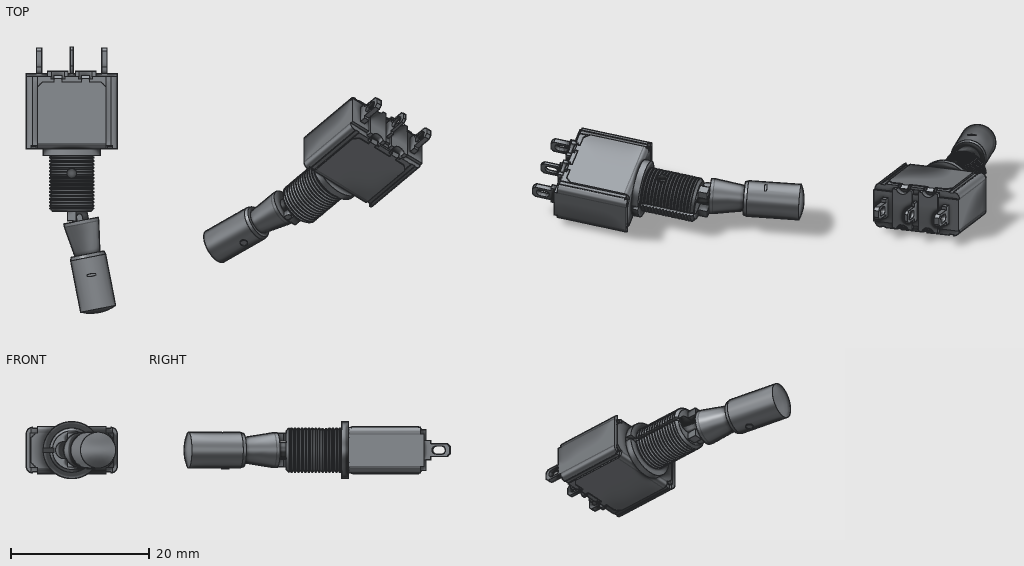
import cadquery as cq
import math


HOUSING_WIDTH = 13.2
SIDE_TOP = 3.32
SIDE_FILLET = 0.95
SIDE_BACK = 10.45
REAR_BACK = 10.9
REAR_HALF_HEIGHT = SIDE_TOP - SIDE_FILLET

COVER_TOP = 3.44
COVER_HALF_WIDTH = 4.97
COVER_BACK = 9.7
COVER_CORNER = 0.75
COVER_BEND = 0.78
FACE_HALF_WIDTH = 5.87
FACE_HALF_HEIGHT = 2.5
FACE_CORNER = 0.68
FACE_GAP = 0.17
FACE_GAP_DEPTH = 0.3

GROOVE_OUTER = 5.65
GROOVE_DEPTH = 0.15
CORNER_NOTCH_DEPTH = 0.45

BASE_BACK = 11.25
BASE_TOP = 2.97
BASE_HALF_WIDTH = 3.52
BASE_GAP = 1.03
BASE_GAP_FRONT = 10.5
LATCH_X = 2.0
LATCH_RADIUS = 1.0
LATCH_FRONT = 10.1
LATCH_TAB_WIDTH = 1.14
LATCH_TAB_BACK = 10.6
LATCH_TAB_THICKNESS = 0.55
LATCH_TAB_SLOPE = 0.45

TERMINAL_PITCH = 4.72
TERMINAL_OUTER_THICKNESS = 0.78
TERMINAL_CENTRE_THICKNESS = 0.46
TERMINAL_OUTER_TIP = 14.64
TERMINAL_CENTRE_TIP = 14.78
TERMINAL_LENGTH = 2.8
TERMINAL_WIDTH = 1.9
SHOULDER_WIDTH = 2.85
TERMINAL_CHAMFER = 0.45
TERMINAL_HOLE_LENGTH = 1.95
TERMINAL_HOLE_WIDTH = 1.15
TERMINAL_HOLE_FROM_TIP = 1.6

FLANGE_RADIUS = 4.145
FLANGE_FRONT = -1.0
BUSHING_FRONT = -9.05
THREAD_RADIUS = 3.22
THREAD_ROOT_RADIUS = 2.95
THREAD_PITCH = 0.5
THREAD_CREST = 0.12
THREAD_RUNOUT = 0.5
BUSHING_CHAMFER = 0.42

KEYWAY_WIDTH = 0.62
KEYWAY_FLOOR = 2.55
KEYWAY_CUTTER_RADIUS = 2.05
KEYWAY_FLOOR_BACK = -2.1

SOCKET_RADIUS = 1.25

PIVOT_Y = -3.55
LEVER_TILT = 11.0
PIVOT_HOLE_RADIUS = 0.72
PIVOT_HOLE_FLOOR = 2.0

POST_WIDTH = 1.3
POST_INNER = 1.3
POST_OUTER = 2.47
POST_FRONT = -10.45

BALL_RADIUS = SOCKET_RADIUS
SHAFT_RADIUS = 1.12
CONE_START = 6.97
CONE_RADIUS = 2.55
CONE_RIM = 0.5
CONE_NECK_RADIUS = 1.85
GRIP_START = 11.92
GRIP_RADIUS = 2.6
GRIP_CHAMFER_LENGTH = 0.5
GRIP_CHAMFER_WIDTH = 0.17
GRIP_END = 20.0
DOME_HEIGHT = 0.57

LUG_WIDTH = 0.85
LUG_LENGTH = 1.0
LUG_OFFSET = -0.12
LUG_OUTER = 2.4

GRIP_PAD_FROM_PIVOT = 14.6
GRIP_PAD_RADIUS = 0.55
GRIP_PAD_HEIGHT = 0.12
GRIP_MARK_FROM_PIVOT = 15.0
GRIP_MARK_LENGTH = 1.5
GRIP_MARK_WIDTH = 0.4
GRIP_MARK_DEPTH = 0.08


def block(x0, x1, y0, y1, z0, z1):
    """Box between two opposite corners."""
    return cq.Workplane("XY").box(x1 - x0, y1 - y0, z1 - z0, centered=False).translate((x0, y0, z0))


def mid_block(half_width, y0, y1, half_height):
    """Box centred on the X and Z axes."""
    return block(-half_width, half_width, y0, y1, -half_height, half_height)


def cover():
    """Sheet cover with bent front edges and a tab in each latch recess."""
    body = mid_block(COVER_HALF_WIDTH, 0, COVER_BACK, COVER_TOP)
    body = body.edges("|Z and >Y").chamfer(COVER_CORNER)
    body = body.faces("<Y").edges("|X").fillet(COVER_BEND)
    tab_front = COVER_BACK - COVER_CORNER
    tab_bottom = COVER_TOP - LATCH_TAB_THICKNESS
    for x in (-LATCH_X, LATCH_X):
        x0 = x - LATCH_TAB_WIDTH / 2
        x1 = x + LATCH_TAB_WIDTH / 2
        tab = block(x0, x1, tab_front, LATCH_TAB_BACK, tab_bottom, COVER_TOP)
        tab = tab.edges("|X and >Y and >Z").chamfer(LATCH_TAB_SLOPE)
        body = body.union(tab).union(tab.mirror("XY"))
    return body


def side_shell():
    """Side plates and rear frame, grooved beside the cover and notched at the front corners."""
    half_width = HOUSING_WIDTH / 2
    body = mid_block(half_width, 0, SIDE_BACK, SIDE_TOP)
    body = body.edges("|Y").fillet(SIDE_FILLET)
    body = body.union(mid_block(half_width, COVER_BACK, REAR_BACK, REAR_HALF_HEIGHT))
    face = mid_block(FACE_HALF_WIDTH, 0, FACE_GAP_DEPTH, FACE_HALF_HEIGHT).edges("|Y").chamfer(FACE_CORNER)
    gap = mid_block(FACE_HALF_WIDTH + FACE_GAP, 0, FACE_GAP_DEPTH, FACE_HALF_HEIGHT).cut(face)
    body = body.cut(gap)
    for x in (-1, 1):
        for z in (-1, 1):
            groove = block(COVER_HALF_WIDTH, GROOVE_OUTER, 0, SIDE_BACK, SIDE_TOP - GROOVE_DEPTH, COVER_TOP)
            notch = block(0, FACE_HALF_WIDTH, 0, CORNER_NOTCH_DEPTH, FACE_HALF_HEIGHT, COVER_TOP)
            for cutter in (groove, notch):
                if x < 0:
                    cutter = cutter.mirror("YZ")
                if z < 0:
                    cutter = cutter.mirror("XY")
                body = body.cut(cutter)
    return body


def rear_base():
    """Raised rear of the base, split by a gap in the middle."""
    body = mid_block(BASE_HALF_WIDTH, COVER_BACK, BASE_BACK, BASE_TOP)
    return body.cut(mid_block(BASE_GAP / 2, BASE_GAP_FRONT, BASE_BACK, BASE_TOP))


def latch_recesses():
    """Concave recesses in the rear base for the latch tabs, above and below."""
    points = [(x, z) for x in (-LATCH_X, LATCH_X) for z in (-SIDE_TOP, SIDE_TOP)]
    return (
        cq.Workplane("XZ", origin=(0, BASE_BACK, 0))
        .pushPoints(points)
        .circle(LATCH_RADIUS)
        .extrude(BASE_BACK - LATCH_FRONT)
    )


def terminal(x, thickness, tip):
    """Solder lug with a shouldered root and an oblong eye."""
    shoulder = tip - TERMINAL_LENGTH
    root = block(-thickness / 2, thickness / 2, SIDE_BACK, shoulder, -SHOULDER_WIDTH / 2, SHOULDER_WIDTH / 2)
    blade = block(-thickness / 2, thickness / 2, shoulder, tip, -TERMINAL_WIDTH / 2, TERMINAL_WIDTH / 2)
    blade = blade.edges("|X and >Y").chamfer(TERMINAL_CHAMFER)
    eye = (
        cq.Workplane("YZ")
        .center(tip - TERMINAL_HOLE_FROM_TIP, 0)
        .slot2D(TERMINAL_HOLE_LENGTH, TERMINAL_HOLE_WIDTH)
        .extrude(thickness, both=True)
    )
    return root.union(blade).cut(eye).translate((x, 0, 0))


def make_housing():
    body = side_shell().union(rear_base()).cut(latch_recesses()).union(cover())
    body = body.union(terminal(-TERMINAL_PITCH, TERMINAL_OUTER_THICKNESS, TERMINAL_OUTER_TIP))
    body = body.union(terminal(0, TERMINAL_CENTRE_THICKNESS, TERMINAL_CENTRE_TIP))
    return body.union(terminal(TERMINAL_PITCH, TERMINAL_OUTER_THICKNESS, TERMINAL_OUTER_TIP))


def threaded_barrel():
    """Flange and barrel turned as one profile, with the thread as a row of V grooves."""
    profile = cq.Workplane("XY").lineTo(FLANGE_RADIUS, 0)
    profile = profile.lineTo(FLANGE_RADIUS, FLANGE_FRONT).lineTo(THREAD_ROOT_RADIUS, FLANGE_FRONT)
    thread_length = FLANGE_FRONT - BUSHING_FRONT - THREAD_RUNOUT
    for turn in range(int(thread_length / THREAD_PITCH)):
        root_y = FLANGE_FRONT - turn * THREAD_PITCH
        crest_y = root_y - (THREAD_PITCH - THREAD_CREST) / 2
        profile = profile.lineTo(THREAD_RADIUS, crest_y).lineTo(THREAD_RADIUS, crest_y - THREAD_CREST)
        profile = profile.lineTo(THREAD_ROOT_RADIUS, root_y - THREAD_PITCH)
    profile = profile.lineTo(THREAD_RADIUS, BUSHING_FRONT + BUSHING_CHAMFER)
    profile = profile.lineTo(THREAD_RADIUS - BUSHING_CHAMFER, BUSHING_FRONT).lineTo(0, BUSHING_FRONT).close()
    return profile.revolve(360, (0, 0), (0, 1))


def keyway():
    """Keyway on the -X side, its back end left round by the cutter."""
    outside = -KEYWAY_FLOOR - KEYWAY_CUTTER_RADIUS
    slant = KEYWAY_CUTTER_RADIUS * math.sqrt(0.5)
    return (
        cq.Workplane("XY", origin=(0, 0, -KEYWAY_WIDTH / 2))
        .moveTo(-KEYWAY_FLOOR, BUSHING_FRONT)
        .lineTo(-KEYWAY_FLOOR, KEYWAY_FLOOR_BACK)
        .threePointArc(
            (outside + slant, KEYWAY_FLOOR_BACK + slant),
            (outside, KEYWAY_FLOOR_BACK + KEYWAY_CUTTER_RADIUS),
        )
        .lineTo(outside, BUSHING_FRONT)
        .close()
        .extrude(KEYWAY_WIDTH)
    )


def lever_slot():
    """Ball socket and the space swept by a round lever swinging between its two end positions."""
    depth = PIVOT_Y - BUSHING_FRONT
    swing = depth * math.tan(math.radians(LEVER_TILT))
    slot = (
        cq.Workplane("XY", origin=(0, PIVOT_Y, 0))
        .polyline([(0, 0), (-swing, -depth), (swing, -depth)])
        .close()
        .extrude(SOCKET_RADIUS, both=True)
    )
    bore = cq.Workplane("XZ").circle(SOCKET_RADIUS).extrude(depth + SOCKET_RADIUS)
    for angle in (-LEVER_TILT, LEVER_TILT):
        slot = slot.union(bore.rotate((0, 0, 0), (0, 0, 1), angle).translate((0, PIVOT_Y, 0)))
    socket = cq.Workplane("XY").sphere(SOCKET_RADIUS).translate((0, PIVOT_Y, 0))
    return slot.union(socket)


def make_bushing():
    pivot_hole = (
        cq.Workplane("XY", origin=(0, PIVOT_Y, PIVOT_HOLE_FLOOR))
        .circle(PIVOT_HOLE_RADIUS)
        .extrude(THREAD_RADIUS)
    )
    body = threaded_barrel().cut(keyway()).cut(lever_slot()).cut(pivot_hole)
    for z0, z1 in ((POST_INNER, POST_OUTER), (-POST_OUTER, -POST_INNER)):
        body = body.union(block(-POST_WIDTH / 2, POST_WIDTH / 2, POST_FRONT, BUSHING_FRONT, z0, z1))
    return body


def lever_turned():
    """Shaft, cone and domed grip, pivot at the origin and axis along -Y."""
    dome_radius = (GRIP_RADIUS ** 2 + DOME_HEIGHT ** 2) / (2 * DOME_HEIGHT)
    half_angle = math.asin(GRIP_RADIUS / dome_radius) / 2
    tip = GRIP_END + DOME_HEIGHT
    dome_middle = (dome_radius * math.sin(half_angle), -tip + dome_radius * (1 - math.cos(half_angle)))
    turned = (
        cq.Workplane("XY")
        .lineTo(SHAFT_RADIUS, 0)
        .lineTo(SHAFT_RADIUS, -CONE_START)
        .lineTo(CONE_RADIUS, -CONE_START)
        .lineTo(CONE_RADIUS, -CONE_START - CONE_RIM)
        .lineTo(CONE_NECK_RADIUS, -GRIP_START)
        .lineTo(GRIP_RADIUS - GRIP_CHAMFER_WIDTH, -GRIP_START)
        .lineTo(GRIP_RADIUS, -GRIP_START - GRIP_CHAMFER_LENGTH)
        .lineTo(GRIP_RADIUS, -GRIP_END)
        .threePointArc(dome_middle, (0, -tip))
        .close()
        .revolve(360, (0, 0), (0, 1))
    )
    return turned.union(cq.Workplane("XY").sphere(BALL_RADIUS))


def lug(z0):
    """Round-ended locking lug standing on the back of the cone."""
    nose_y = -CONE_START + LUG_LENGTH
    half = LUG_WIDTH / 2
    return (
        cq.Workplane("XY", origin=(LUG_OFFSET, 0, z0))
        .moveTo(-half, -CONE_START)
        .lineTo(-half, nose_y - half)
        .threePointArc((0, nose_y), (half, nose_y - half))
        .lineTo(half, -CONE_START)
        .close()
        .extrude(LUG_OUTER - POST_INNER)
    )


def make_lever():
    body = lever_turned().union(lug(POST_INNER)).union(lug(-LUG_OUTER))
    pad = (
        cq.Workplane("XY", origin=(0, -GRIP_PAD_FROM_PIVOT, -GRIP_RADIUS - GRIP_PAD_HEIGHT))
        .circle(GRIP_PAD_RADIUS)
        .extrude(GRIP_RADIUS)
    )
    mark = (
        cq.Workplane("XY", origin=(0, -GRIP_MARK_FROM_PIVOT, GRIP_RADIUS - GRIP_MARK_DEPTH))
        .ellipse(GRIP_MARK_LENGTH / 2, GRIP_MARK_WIDTH / 2)
        .extrude(GRIP_RADIUS)
    )
    body = body.union(pad).cut(mark)
    return body.rotate((0, 0, 0), (0, 0, 1), LEVER_TILT).translate((0, PIVOT_Y, 0))


housing = make_housing()
bushing = make_bushing()
lever = make_lever()

result = cq.Compound.makeCompound([housing.solids().val(), bushing.solids().val(), lever.solids().val()])